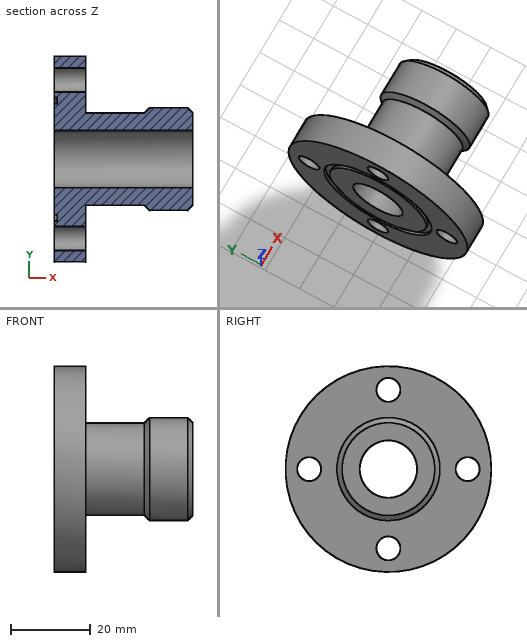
import cadquery as cq

flange_diameter = 52.0
flange_thickness = 8.0
total_length = 35.0

neck_diameter = 23.4
collar_diameter = 26.0
collar_length = 12.2
collar_chamfer = (collar_diameter - neck_diameter) / 2
bore_diameter = 14.4

bolt_count = 4
bolt_hole_diameter = 6.0
bolt_circle_diameter = 40.0

groove_outer_diameter = 31.2
groove_inner_diameter = 28.1
groove_depth = 0.8


def cylinder(diameter, start, length):
    """Solid cylinder along +X, beginning at X = start."""
    return cq.Workplane("YZ", origin=(start, 0, 0)).circle(diameter / 2).extrude(length)


def make_body():
    flange = cylinder(flange_diameter, 0, flange_thickness)
    neck = cylinder(neck_diameter, 0, total_length)
    collar = cylinder(collar_diameter, total_length - collar_length, collar_length)
    collar = collar.faces("<X or >X").chamfer(collar_chamfer)
    return flange.union(neck).union(collar)


def make_bolt_holes():
    return (
        cq.Workplane("YZ")
        .polarArray(bolt_circle_diameter / 2, 0, 360, bolt_count)
        .circle(bolt_hole_diameter / 2)
        .extrude(flange_thickness)
    )


def make_groove():
    groove = cylinder(groove_outer_diameter, 0, groove_depth)
    core = cylinder(groove_inner_diameter, 0, groove_depth)
    return groove.cut(core)


bore = cylinder(bore_diameter, 0, total_length)
result = make_body().cut(bore).cut(make_bolt_holes()).cut(make_groove())